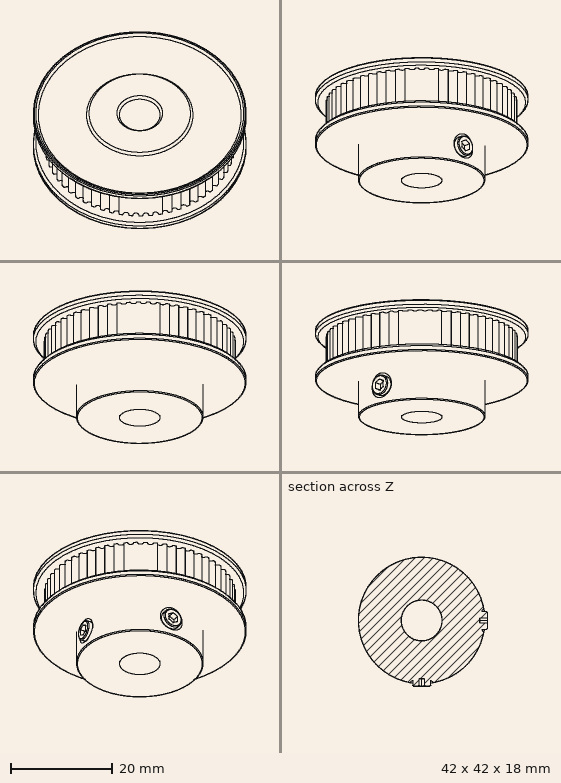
import cadquery as cq
import math

flange_thickness = 1.5
hub_height = 7.5
belt_width = 7.5
lower_flange_top = hub_height + flange_thickness
upper_flange_bottom = lower_flange_top + belt_width
total_height = upper_flange_bottom + flange_thickness

flange_radius = 21.0
flange_lead_in = 0.5
edge_break = 0.2
recess_depth = 0.5
recess_floor_inner_radius = 10.5
recess_floor_outer_radius = 20.0
recess_wall_run = 0.5

hub_radius = 12.5
bore_radius = 4.0
bore_chamfer = 0.5

tooth_count = 60
belt_pitch = 2.0
pitch_line_offset = 0.254
tip_radius = tooth_count * belt_pitch / (2 * math.pi) - pitch_line_offset
groove_depth = 0.75
floor_radius = 0.555
flank_radius = 1.0
flank_center_offset = 0.4
tip_rounding = 0.15

screw_radius = 2.0
screw_height = hub_height / 2
bore_clearance = 1.0
screw_inner_end = bore_radius + bore_clearance
screw_protrusion = 0.5
screw_outer_end = hub_radius + screw_protrusion
screw_chamfer = 0.2
hex_across_flats = 2.0
hex_depth = 1.5
quarter_turn = 90.0
mouth_chamfer = 0.5
screw_directions = [(0, -1, 0), (1, 0, 0)]


def polar(radius, angle):
    return (radius * math.cos(angle), radius * math.sin(angle))


def point_from(center, radius, direction):
    """Point at a distance and direction from a centre, all in one flat frame."""
    return (center[0] + radius * math.cos(direction), center[1] + radius * math.sin(direction))


def make_toothed_ring():
    """Belt section: rounded teeth with round-bottomed grooves, a groove on +X."""
    step = 2 * math.pi / tooth_count

    root_radius = tip_radius - groove_depth
    floor_center = (root_radius + floor_radius, 0)
    center_gap = flank_radius - floor_radius
    flank_center_out = floor_center[0] + math.sqrt(center_gap ** 2 - flank_center_offset ** 2)
    flank_center = (flank_center_out, -flank_center_offset)

    rounding_distance = tip_radius - tip_rounding
    rounding_reach = flank_radius + tip_rounding
    flank_distance = math.hypot(*flank_center)
    opening_cosine = (
        (rounding_distance ** 2 + flank_distance ** 2 - rounding_reach ** 2)
        / (2 * rounding_distance * flank_distance)
    )
    land_angle = math.acos(opening_cosine) + math.atan2(flank_center[1], flank_center[0])
    rounding_center = polar(rounding_distance, land_angle)

    floor_end_angle = math.atan2(flank_center_offset, floor_center[0] - flank_center[0])
    flank_end_angle = math.atan2(
        rounding_center[1] - flank_center[1],
        rounding_center[0] - flank_center[0],
    )
    floor_end = point_from(flank_center, flank_radius, floor_end_angle)
    flank_middle = point_from(flank_center, flank_radius, (floor_end_angle + flank_end_angle) / 2)
    flank_end = point_from(flank_center, flank_radius, flank_end_angle)
    rounding_middle_angle = (flank_end_angle - math.pi + land_angle) / 2
    rounding_middle = point_from(rounding_center, tip_rounding, rounding_middle_angle)

    def turned(point, angle, side=1):
        """Point turned about the pulley axis; side -1 takes its mirror across the groove."""
        direction = math.atan2(side * point[1], point[0])
        return polar(math.hypot(*point), angle + direction)

    profile = cq.Workplane("XY").workplane(offset=hub_height)
    profile = profile.moveTo(*polar(tip_radius, -land_angle))
    for index in range(tooth_count):
        angle = index * step
        land_middle = polar(tip_radius, angle + step / 2)
        land_end = polar(tip_radius, angle + step - land_angle)
        profile = (
            profile
            .threePointArc(turned(rounding_middle, angle, -1), turned(flank_end, angle, -1))
            .threePointArc(turned(flank_middle, angle, -1), turned(floor_end, angle, -1))
            .threePointArc(polar(root_radius, angle), turned(floor_end, angle))
            .threePointArc(turned(flank_middle, angle), turned(flank_end, angle))
            .threePointArc(turned(rounding_middle, angle), polar(tip_radius, angle + land_angle))
            .threePointArc(land_middle, land_end)
        )
    return profile.close().extrude(total_height - recess_depth - hub_height)


def make_flange(bottom, belt_side):
    """Flange disc with a lead-in on the belt side (">Z" or "<Z") and a broken outer edge."""
    outer_side = "<Z" if belt_side == ">Z" else ">Z"
    disc = cq.Workplane("XY").workplane(offset=bottom).circle(flange_radius).extrude(flange_thickness)
    disc = disc.faces(belt_side).edges().chamfer(flange_lead_in)
    return disc.faces(outer_side).edges().chamfer(edge_break)


def make_hub():
    """Hub with a chamfered free end and a small fillet into the lower flange."""
    root_middle = edge_break * (1 - math.sqrt(0.5))
    return (
        cq.Workplane("XZ")
        .lineTo(hub_radius - edge_break, 0)
        .lineTo(hub_radius, edge_break)
        .lineTo(hub_radius, hub_height - edge_break)
        .threePointArc(
            (hub_radius + root_middle, hub_height - root_middle),
            (hub_radius + edge_break, hub_height),
        )
        .lineTo(0, hub_height)
        .close()
        .revolve(360, (0, 0, 0), (0, 1, 0))
    )


def make_face_recess():
    """Annular recess with sloped walls, leaving a raised boss and rim."""
    floor = total_height - recess_depth
    return (
        cq.Workplane("XZ")
        .moveTo(recess_floor_inner_radius, floor)
        .lineTo(recess_floor_outer_radius, floor)
        .lineTo(recess_floor_outer_radius + recess_wall_run, total_height)
        .lineTo(recess_floor_inner_radius - recess_wall_run, total_height)
        .close()
        .revolve(360, (0, 0, 0), (0, 1, 0))
    )


def make_bore():
    """Through bore with a chamfered mouth at the top."""
    return (
        cq.Workplane("XZ")
        .lineTo(bore_radius, 0)
        .lineTo(bore_radius, total_height - bore_chamfer)
        .lineTo(bore_radius + bore_chamfer, total_height)
        .lineTo(0, total_height)
        .close()
        .revolve(360, (0, 0, 0), (0, 1, 0))
    )


def screw_plane(distance, direction):
    """Plane facing outward along the screw axis, at a distance from the pulley axis."""
    origin = (distance * direction[0], distance * direction[1], screw_height)
    across = (-direction[1], direction[0], 0)
    return cq.Plane(origin=origin, xDir=across, normal=direction)


def make_screw_rod(direction):
    """Plain rod filling the length of a set screw."""
    rod = cq.Workplane(screw_plane(screw_inner_end, direction)).circle(screw_radius)
    return rod.extrude(screw_outer_end - screw_inner_end)


def add_screw_hole(body, direction):
    """Radial screw hole whose mouth is chamfered along the curved hub surface."""
    drilled = body.cut(make_screw_rod(direction))
    mouth_center = screw_plane(hub_radius, direction).origin.toTuple()
    mouth = drilled.edges(cq.selectors.NearestToPointSelector(mouth_center))
    return mouth.chamfer(mouth_chamfer)


def make_set_screw(direction):
    """Set screw with a chamfered outer end."""
    outer_face = cq.selectors.DirectionMinMaxSelector(cq.Vector(*direction))
    return make_screw_rod(direction).faces(outer_face).edges().chamfer(screw_chamfer)


def make_hex_socket(direction):
    """Hexagon socket with two corners pointing along Z."""
    corner_diameter = hex_across_flats / math.cos(math.pi / 6)
    return (
        cq.Workplane(screw_plane(screw_outer_end, direction))
        .transformed(rotate=(0, 0, quarter_turn))
        .polygon(6, corner_diameter)
        .extrude(-hex_depth)
    )


hub = make_hub()
for screw_direction in screw_directions:
    hub = add_screw_hole(hub, screw_direction)
    hub = hub.union(make_set_screw(screw_direction)).cut(make_hex_socket(screw_direction))

result = hub.union(make_toothed_ring())
result = result.union(make_flange(hub_height, ">Z"))
result = result.union(make_flange(upper_flange_bottom, "<Z"))
result = result.cut(make_face_recess()).cut(make_bore())